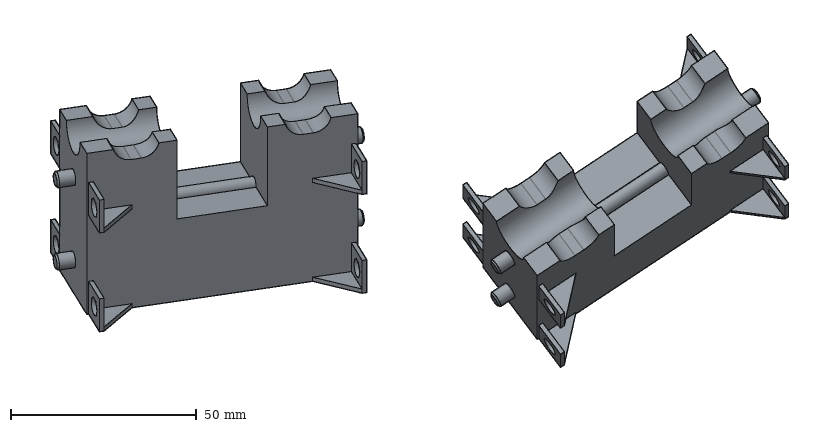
import cadquery as cq

BODY_WIDTH = 25.4
BODY_LENGTH = 76.2
BODY_HEIGHT = 49.7

NOTCH_LENGTH = BODY_LENGTH / 3
NOTCH_FLOOR = 25.4

ROD_DIAMETER = 4.15

CRADLE_RADIUS = BODY_WIDTH / 4
CRADLE_DEPTH = 6.5

GROOVE_OFFSET = 24.2
GROOVE_DEPTH = 3.9
GROOVE_FLAT = 2.85
GROOVE_SIDE_RADIUS = 5.1

OVERALL_LENGTH = 86.4
PIN_DIAMETER = 4.6
PIN_LENGTH = (OVERALL_LENGTH - BODY_LENGTH) / 2
PIN_CHAMFER = 0.5
PIN_HEIGHTS = (10.2, 35.6)

BRACKET_SPAN = 45.7
BRACKET_SIZE = (BRACKET_SPAN - BODY_WIDTH) / 2
BRACKET_THICKNESS = 1.3
BRACKET_INSET = 0.5
BRACKET_BASES = (0, 30.5)
SHELF_LENGTH = 10.9
HOLE_DIAMETER = 5.1


def make_body():
    """Block with the middle notch removed and the rod laid on the notch floor."""
    block = cq.Workplane("XY").box(BODY_WIDTH, BODY_LENGTH, BODY_HEIGHT, centered=(True, True, False))
    notch = (
        cq.Workplane("XY")
        .workplane(offset=NOTCH_FLOOR)
        .box(BODY_WIDTH, NOTCH_LENGTH, BODY_HEIGHT - NOTCH_FLOOR, centered=(True, True, False))
    )
    rod = (
        cq.Workplane("XZ", origin=(0, NOTCH_LENGTH / 2, NOTCH_FLOOR))
        .circle(ROD_DIAMETER / 2)
        .extrude(NOTCH_LENGTH)
    )
    return block.cut(notch).union(rod)


def make_cradle():
    """Cylinder that cuts the lengthwise cradle."""
    axis_height = BODY_HEIGHT - CRADLE_DEPTH + CRADLE_RADIUS
    return (
        cq.Workplane("XZ")
        .center(0, axis_height)
        .circle(CRADLE_RADIUS)
        .extrude(BODY_LENGTH / 2, both=True)
    )


def make_groove(center_y):
    """Cutter for one cross groove: two side cylinders joined by a flat floor."""
    floor = BODY_HEIGHT - GROOVE_DEPTH
    side_diameter = 2 * GROOVE_SIDE_RADIUS
    return (
        cq.Workplane("YZ")
        .center(center_y, floor + GROOVE_SIDE_RADIUS)
        .slot2D(GROOVE_FLAT + side_diameter, side_diameter)
        .extrude(BODY_WIDTH / 2, both=True)
    )


def make_pin(height):
    """Pin with a chamfered tip on the -Y end face."""
    return (
        cq.Workplane("XZ", origin=(0, -BODY_LENGTH / 2, height))
        .circle(PIN_DIAMETER / 2)
        .extrude(PIN_LENGTH)
        .faces("<Y")
        .chamfer(PIN_CHAMFER)
    )


def make_bracket(base):
    """Bracket beside the +X, -Y corner of the block."""
    side = BODY_WIDTH / 2
    outer_y = -BODY_LENGTH / 2 + BRACKET_INSET
    inner_y = outer_y + BRACKET_THICKNESS
    plate = (
        cq.Workplane("XZ", origin=(side + BRACKET_SIZE / 2, inner_y, base + BRACKET_SIZE / 2))
        .rect(BRACKET_SIZE, BRACKET_SIZE)
        .circle(HOLE_DIAMETER / 2)
        .extrude(BRACKET_THICKNESS)
    )
    shelf = (
        cq.Workplane("XY", origin=(side, inner_y, base))
        .polyline([(0, 0), (BRACKET_SIZE, 0), (0, SHELF_LENGTH)])
        .close()
        .extrude(BRACKET_THICKNESS)
    )
    return plate.union(shelf)


result = make_body().cut(make_cradle())
for groove_y in (-GROOVE_OFFSET, GROOVE_OFFSET):
    result = result.cut(make_groove(groove_y))

for pin_height in PIN_HEIGHTS:
    pin = make_pin(pin_height)
    result = result.union(pin).union(pin.mirror("XZ"))

for bracket_base in BRACKET_BASES:
    bracket = make_bracket(bracket_base)
    bracket_pair = bracket.union(bracket.mirror("YZ"))
    result = result.union(bracket_pair).union(bracket_pair.mirror("XZ"))